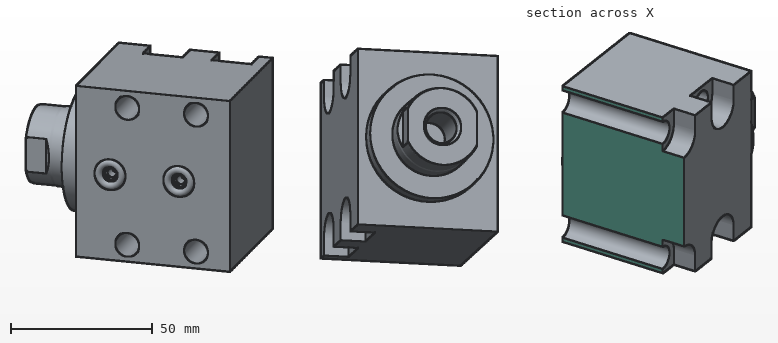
import cadquery as cq

total_length = 79.5
block_length = 56.9
block_depth = 50.7
block_height = 63.5
block_x = total_length - block_length
axis_y = 25.45

collar_diameter = 44.7
collar_thickness = 6.2
rod_diameter = 28.6
tip_diameter = 28.2
tip_length = 9.0
shoulder_length = 0.95
tip_chamfer_length = 0.9
tip_chamfer_height = 0.2

flat_width = 25.1
flat_length = 7.55
cutter_clearance = 0.8
bore_diameter = 11.1
bore_mouth_diameter = 13.5
bore_step_diameter = 12.6
bore_step_depth = 0.6
bore_cone_depth = 2.1
bore_depth = 19.9

hole_pitch = 25.45
hole_x = block_x + 19.0
hole_z = 25.45
hole_diameter = 8.8
recess_width = 14.6
recess_depth = 8.9

port_x = block_x + 12.65
seal_outer_diameter = 11.45
seal_inner_diameter = 5.5
seal_protrusion = 1.3
seat_depth = 1.6
port_diameter = 4.7
port_drill_diameter = 3.3
port_depth = 7.95
port_cone_length = 0.6

seal_section_radius = (seal_outer_diameter - seal_inner_diameter) / 4
seal_mean_radius = (seal_outer_diameter + seal_inner_diameter) / 4
seal_center_y = seal_section_radius - seal_protrusion


def make_block():
    return cq.Workplane("XY").box(
        block_length, block_depth, block_height, centered=(False, False, True)
    ).translate((block_x, 0, 0))


def make_rod_and_collar():
    rod_radius = rod_diameter / 2
    tip_radius = tip_diameter / 2
    collar_radius = collar_diameter / 2
    collar_x = block_x - collar_thickness
    profile = (
        cq.Workplane("XY")
        .moveTo(0, 0)
        .lineTo(0, tip_radius - tip_chamfer_height)
        .lineTo(tip_chamfer_length, tip_radius)
        .lineTo(tip_length, tip_radius)
        .lineTo(tip_length + shoulder_length, rod_radius)
        .lineTo(collar_x, rod_radius)
        .lineTo(collar_x, collar_radius)
        .lineTo(block_x, collar_radius)
        .lineTo(block_x, 0)
        .close()
    )
    rod = profile.revolve(360, (0, 0, 0), (1, 0, 0))
    return rod.cut(make_flat_cutter(1)).cut(make_flat_cutter(-1)).translate((0, axis_y, 0))


def make_flat_cutter(side):
    """Wedge that leaves a wrench flat ending in a 45 degree run-out."""
    inner = flat_width / 2
    outer = rod_diameter / 2 + cutter_clearance
    points = [
        (0, side * inner),
        (flat_length, side * inner),
        (flat_length + outer - inner, side * outer),
        (0, side * outer),
    ]
    return cq.Workplane("XY").polyline(points).close().extrude(rod_diameter / 2, both=True)


def make_bore():
    """Blind bore with a double-angle conical mouth."""
    radius = bore_diameter / 2
    profile = [
        (0, 0),
        (0, bore_mouth_diameter / 2),
        (bore_step_depth, bore_step_diameter / 2),
        (bore_cone_depth, radius),
        (bore_depth, radius),
        (bore_depth, 0),
    ]
    bore = cq.Workplane("XY").polyline(profile).close().revolve(360, (0, 0, 0), (1, 0, 0))
    return bore.translate((0, axis_y, 0))


def y_cylinder(x, z, diameter, start_y, length):
    direction = cq.Vector(0, 1, 0)
    start = cq.Vector(x, start_y, z)
    return cq.Workplane(cq.Solid.makeCylinder(diameter / 2, length, start, direction))


def make_mounting_hole(x, side):
    """Through hole whose head recess runs out to the top or bottom face."""
    recess_y = block_depth - recess_depth
    z = side * hole_z
    run_out = block_height / 2 - hole_z
    hole = y_cylinder(x, z, hole_diameter, 0, block_depth)
    rounded_end = y_cylinder(x, z, recess_width, recess_y, recess_depth)
    channel = cq.Workplane("XY").box(
        recess_width, recess_depth, run_out, centered=(True, False, True)
    ).translate((x, recess_y, z + side * run_out / 2))
    return hole.union(rounded_end).union(channel)


def make_port(x):
    """Seal seat with a stepped drilling tapering to the port bore."""
    port_radius = port_diameter / 2
    drill_radius = port_drill_diameter / 2
    cone_y = seat_depth + port_cone_length
    profile = [
        (0, 0),
        (seal_mean_radius, 0),
        (seal_mean_radius, seat_depth),
        (port_radius, seat_depth),
        (drill_radius, cone_y),
        (drill_radius, port_depth),
        (0, port_depth + drill_radius),
    ]
    port = cq.Workplane("XY").polyline(profile).close().revolve(360, (0, 0, 0), (0, 1, 0))
    return port.translate((x, 0, 0))


def make_seal(x):
    center = cq.Vector(x, seal_center_y, 0)
    return cq.Workplane(
        cq.Solid.makeTorus(seal_mean_radius, seal_section_radius, center, cq.Vector(0, 1, 0))
    )


result = make_block().union(make_rod_and_collar()).cut(make_bore())
for column in range(2):
    offset = column * hole_pitch
    for side in (1, -1):
        result = result.cut(make_mounting_hole(hole_x + offset, side))
    result = result.cut(make_port(port_x + offset)).union(make_seal(port_x + offset))